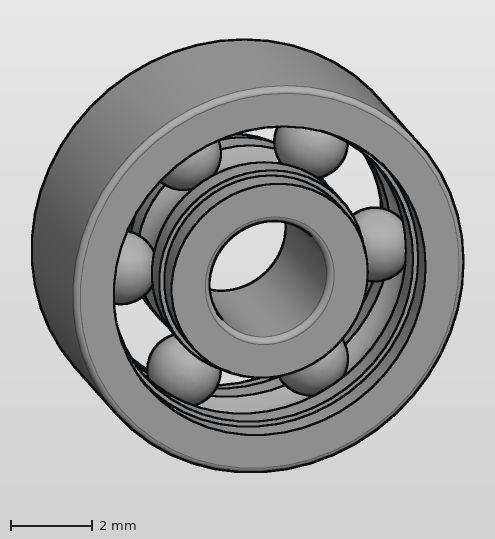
import cadquery as cq

outer_diameter = 10.0
bore_diameter = 3.0
width = 4.0
edge_radius = 0.15

inner_land_diameter = 5.28
outer_land_diameter = 7.72
step_height = 0.13
step_depth = 0.67
inner_step_diameter = inner_land_diameter - 2 * step_height
outer_step_diameter = outer_land_diameter + 2 * step_height

ball_count = 6
ball_diameter = 1.82
pitch_radius = (inner_land_diameter + outer_land_diameter) / 4


def tube(large_diameter, small_diameter, length, start):
    """Tube along X that begins at the given X position."""
    return (
        cq.Workplane("YZ", origin=(start, 0, 0))
        .circle(large_diameter / 2)
        .circle(small_diameter / 2)
        .extrude(length)
    )


def step_cutters(large_diameter, small_diameter):
    """Pair of tubes that cut the shield step at both end faces."""
    front = tube(large_diameter, small_diameter, step_depth, -width / 2)
    back = tube(large_diameter, small_diameter, step_depth, width / 2 - step_depth)
    return front.add(back).combine()


def raceway_cutter():
    """Torus swept by a ball as it travels round the bearing axis."""
    return (
        cq.Workplane("XY")
        .center(0, pitch_radius)
        .circle(ball_diameter / 2)
        .revolve(360, (0, -pitch_radius), (1, -pitch_radius))
    )


def make_outer_ring():
    ring = tube(outer_diameter, outer_land_diameter, width, -width / 2)
    ring = ring.faces("<X or >X").edges(cq.selectors.RadiusNthSelector(-1)).fillet(edge_radius)
    ring = ring.cut(step_cutters(outer_step_diameter, outer_land_diameter))
    return ring.cut(raceway_cutter())


def make_inner_ring():
    ring = tube(inner_land_diameter, bore_diameter, width, -width / 2)
    ring = ring.faces("<X or >X").edges(cq.selectors.RadiusNthSelector(0)).fillet(edge_radius)
    ring = ring.cut(step_cutters(inner_land_diameter, inner_step_diameter))
    return ring.cut(raceway_cutter())


def make_ball(angle):
    """Ball at the given angle about X, measured from +Y."""
    ball = cq.Workplane("XY").sphere(ball_diameter / 2).translate((0, pitch_radius, 0))
    return ball.rotate((0, 0, 0), (1, 0, 0), angle)


outer_ring = make_outer_ring()
inner_ring = make_inner_ring()
balls = [make_ball(index * 360 / ball_count) for index in range(ball_count)]

result = cq.Compound.makeCompound(
    [outer_ring.val(), inner_ring.val(), *[ball.val() for ball in balls]]
)